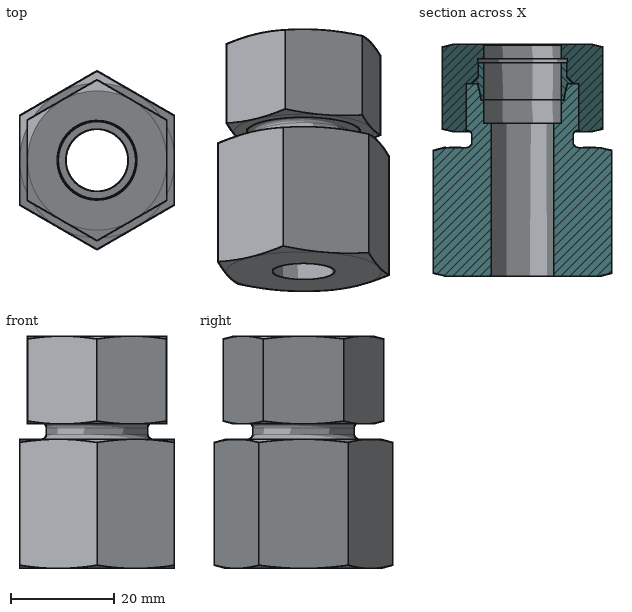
import cadquery as cq
import math

total_height = 45.0
body_hex_height = 25.0
nut_height = 17.0
nut_bottom = total_height - nut_height

body_across_flats = 30.0
nut_across_flats = 27.0
hex_chamfer_angle = 15.0

thread_radius = 22.0 / 2
relief_radius = 19.7 / 2
relief_fillet = 1.0
relief_length = 3.25
relief_top = body_hex_height + relief_length
neck_top = 37.35

through_radius = 12.0 / 2
tube_radius = 15.0 / 2
tube_stop = 29.7

ring_top = 41.4
ring_collar_radius = 17.3 / 2
ring_flange_radius = 20.0 / 2
ring_cone_length = 3.15
ring_cone_half_angle = 12.0
ring_tip = neck_top - ring_cone_length
ring_tip_radius = ring_collar_radius - ring_cone_length * math.tan(math.radians(ring_cone_half_angle))
flange_cone_top = neck_top + ring_flange_radius - ring_collar_radius

nut_lip_bottom = 42.15
nut_mouth_chamfer = 0.22


def revolve_profile(profile):
    """Revolve an XZ half-profile about the Z axis."""
    return profile.close().revolve(360, (0, 0, 0), (0, 1, 0))


def chamfered_hexagon(across_flats, bottom, height):
    """Hexagonal prism with corners along Y, turned to a shallow cone at both ends."""
    flat_radius = across_flats / 2
    corner_radius = across_flats / math.sqrt(3)
    chamfer_height = (corner_radius - flat_radius) * math.tan(math.radians(hex_chamfer_angle))
    top = bottom + height
    prism = (
        cq.Workplane("XY", origin=(0, 0, bottom))
        .polygon(6, 2 * corner_radius)
        .extrude(height)
        .rotate((0, 0, 0), (0, 0, 1), 30)
    )
    turned_envelope = revolve_profile(
        cq.Workplane("XZ")
        .moveTo(0, bottom)
        .lineTo(flat_radius, bottom)
        .lineTo(corner_radius, bottom + chamfer_height)
        .lineTo(corner_radius, top - chamfer_height)
        .lineTo(flat_radius, top)
        .lineTo(0, top)
    )
    return prism.intersect(turned_envelope)


def make_body():
    """Hexagonal body with a relieved, threaded neck and a stepped tube passage."""
    fillet_edge_radius = relief_radius + relief_fillet
    neck = revolve_profile(
        cq.Workplane("XZ")
        .moveTo(0, body_hex_height)
        .lineTo(fillet_edge_radius, body_hex_height)
        .radiusArc((relief_radius, body_hex_height + relief_fillet), relief_fillet)
        .lineTo(relief_radius, relief_top - relief_fillet)
        .radiusArc((fillet_edge_radius, relief_top), relief_fillet)
        .lineTo(thread_radius, relief_top)
        .lineTo(thread_radius, neck_top)
        .lineTo(0, neck_top)
    )
    passage = revolve_profile(
        cq.Workplane("XZ")
        .lineTo(through_radius, 0)
        .lineTo(through_radius, tube_stop)
        .lineTo(tube_radius, tube_stop)
        .lineTo(tube_radius, ring_tip)
        .lineTo(ring_tip_radius, ring_tip)
        .lineTo(ring_collar_radius, neck_top)
        .lineTo(0, neck_top)
    )
    hexagon = chamfered_hexagon(body_across_flats, 0, body_hex_height)
    return hexagon.union(neck).cut(passage)


def make_ring():
    """Cutting ring: tapered nose, 45 degree shoulder and a plain collar."""
    return revolve_profile(
        cq.Workplane("XZ")
        .moveTo(tube_radius, ring_tip)
        .lineTo(ring_tip_radius, ring_tip)
        .lineTo(ring_collar_radius, neck_top)
        .lineTo(ring_flange_radius, neck_top)
        .lineTo(ring_collar_radius, flange_cone_top)
        .lineTo(ring_collar_radius, ring_top)
        .lineTo(tube_radius, ring_top)
    )


def make_nut():
    """Union nut whose cavity fits the body's thread and the cutting ring."""
    cavity = revolve_profile(
        cq.Workplane("XZ")
        .moveTo(0, nut_bottom)
        .lineTo(thread_radius, nut_bottom)
        .lineTo(thread_radius, neck_top)
        .lineTo(ring_flange_radius, neck_top)
        .lineTo(ring_collar_radius, flange_cone_top)
        .lineTo(ring_collar_radius, nut_lip_bottom)
        .lineTo(tube_radius, nut_lip_bottom)
        .lineTo(tube_radius, total_height - nut_mouth_chamfer)
        .lineTo(tube_radius + nut_mouth_chamfer, total_height)
        .lineTo(0, total_height)
    )
    return chamfered_hexagon(nut_across_flats, nut_bottom, nut_height).cut(cavity)


body = make_body()
ring = make_ring()
nut = make_nut()

result = cq.Compound.makeCompound([body.solids().val(), ring.val(), nut.solids().val()])